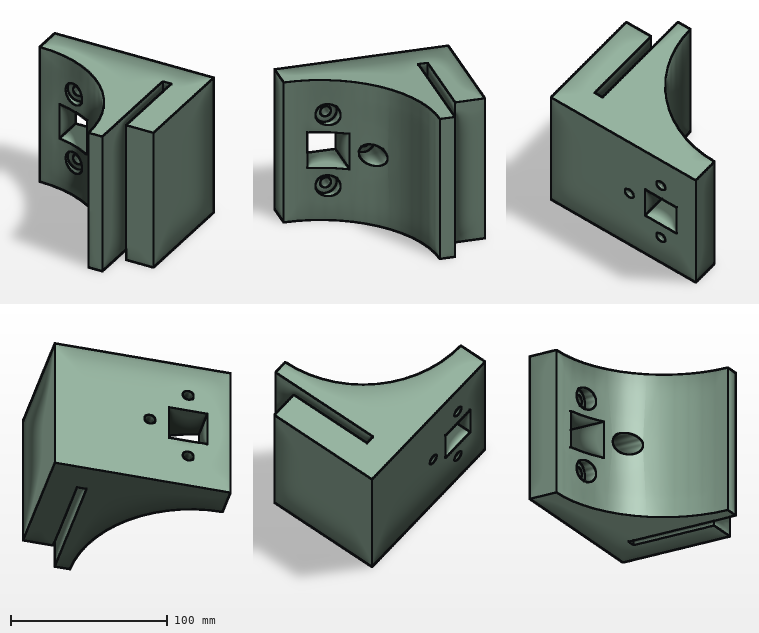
import cadquery as cq

length = 116.4
depth = 100.0
height = 100.0

wall = 20.0
cove_radius = depth - wall
web_tip = 10.1
web_right = cove_radius + web_tip
hook_left = length - wall
hook_end = cove_radius

window_size = 25.4
hole_pitch = window_size
window_x = 28.0
mid_z = height / 2
bore_diameter = 7.2
counterbore_diameter = 15.0
counterbore_floor = 20.0
hole_centers = [
    (window_x, mid_z - hole_pitch),
    (window_x, mid_z + hole_pitch),
    (window_x + hole_pitch, mid_z),
]


def make_body():
    """Extrude the coved bracket with its rear slot and hanging hook."""
    diagonal = cove_radius * 0.5**0.5
    return (
        cq.Workplane("XY")
        .moveTo(0, 0)
        .lineTo(0, -wall)
        .threePointArc((diagonal, diagonal - depth), (cove_radius, -depth))
        .lineTo(web_right, -depth)
        .lineTo(web_right, -wall)
        .lineTo(hook_left, -wall)
        .lineTo(hook_left, -hook_end)
        .lineTo(length, -hook_end)
        .lineTo(length, 0)
        .close()
        .extrude(height)
    )


def make_window():
    """Square opening along Y."""
    return (
        cq.Workplane("XZ")
        .center(window_x, mid_z)
        .rect(window_size, window_size)
        .extrude(depth)
    )


def make_screw_holes():
    """Through bores along Y, counterbored from the cove side."""
    bores = cq.Workplane("XZ").pushPoints(hole_centers).circle(bore_diameter / 2).extrude(depth)
    counterbores = (
        cq.Workplane("XZ", origin=(0, -counterbore_floor, 0))
        .pushPoints(hole_centers)
        .circle(counterbore_diameter / 2)
        .extrude(depth - counterbore_floor)
    )
    return bores.union(counterbores)


result = make_body().cut(make_window()).cut(make_screw_holes())